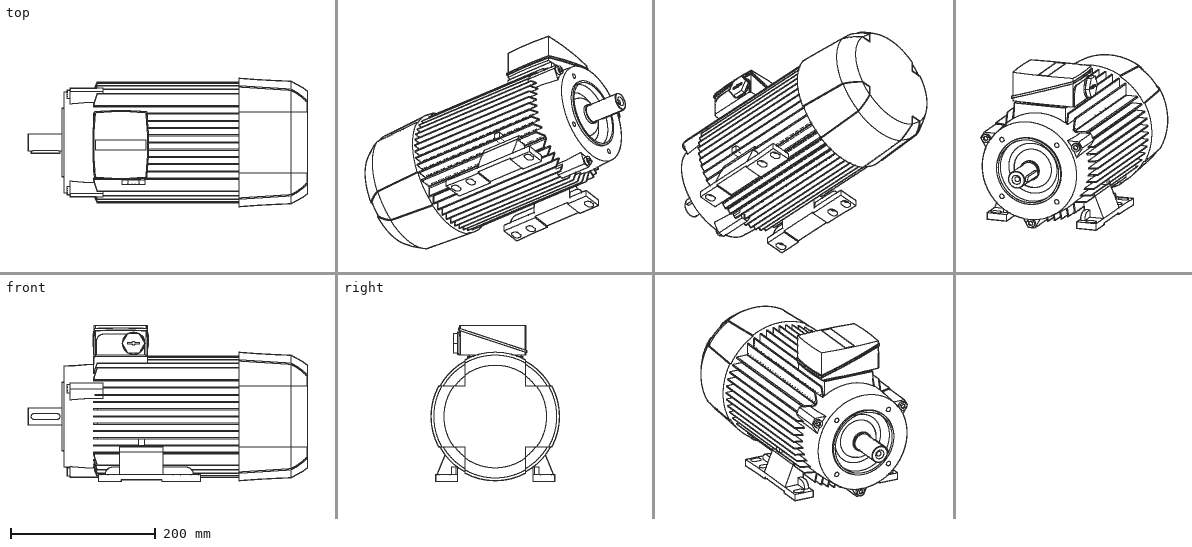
import cadquery as cq
import math


SHAFT_RADIUS = 12
SHAFT_LENGTH = 50
SHAFT_CHAMFER = 0.6
KEY_WIDTH = 8
KEY_LENGTH = 40
KEY_END_GAP = 4.5
KEY_TOP = 15
CENTRE_BORE_RADIUS = 3.4
CENTRE_BORE_DEPTH = 20
CENTRE_SINK_RADIUS = 6.4
CENTRE_SINK_DEPTH = 3

FLANGE_RADIUS = 70
FLANGE_TAPER_END = 34
SPIGOT_RADIUS = 47.5
SPIGOT_HEIGHT = 3
RECESS_MOUTH_RADIUS = 44.8
RECESS_FLOOR_RADIUS = 35.7
RECESS_RIM_X = 5
RECESS_FLOOR_X = 14
HUB_BASE_RADIUS = 27.4
HUB_TOP_RADIUS = 16
HUB_TOP_X = 3
SHAFT_COLLAR_RADIUS = 13.7
FLANGE_BOLT_CIRCLE = 115
FLANGE_HOLE_RADIUS = 3.2
FLANGE_HOLE_DEPTH = 15

BODY_START = 41
CORE_RADIUS = 72.3
FIN_TIP_RADIUS = 84
FIN_BEVEL_LENGTH = 5
FIN_PITCH = 10
FIN_THICKNESS = 1.5
FINS_EACH_SIDE = 5

COVER_START = 242
COVER_BEND = 314
COVER_END = 337
COVER_RADIUS = 89
COVER_BEND_RADIUS = 85
COVER_END_RADIUS = 71
COVER_BULGE = 1
COVER_PANEL_HALF_WIDTH = 42
COVER_CORNER_DROP = 1.6
COVER_END_DROP = 1

LUG_ANGLES = (30, 150, 270)
LUG_START = 8.5
LUG_END = 54
LUG_TIP_RADIUS = 84
LUG_TIP_HALF_WIDTH = 4.9
LUG_ROOT_RADIUS = 62
LUG_FLARE_ANGLE = 30
BOLT_CIRCLE_RADIUS = 76.8
BOLT_HEAD_RADIUS = 5.8
BOLT_HEAD_HEIGHT = 4
BOLT_SOCKET_DIAMETER = 6.5
BOLT_SOCKET_DEPTH = 2.5

SHAFT_HEIGHT = 90
FOOT_START = 47.5
FOOT_END = 189
FOOT_INNER_Y = 52
FOOT_PAD_Y = 80.7
FOOT_THICKNESS = 9.6
FOOT_FLARE_START = 156
FOOT_FLARE_Y = 82.3
FOOT_RELIEF_START = 79.5
FOOT_RELIEF_END = 135.5
FOOT_RELIEF_HEIGHT = 2.4
WEB_START = 76.5
WEB_END = 137
WEB_TOP_Y = 65
WEB_TOP_Z = -42
RIB_START = 57
RIB_END = 179
RIB_HEIGHT = 10.4
RIB_CORNER_RADIUS = 10
RIB_INNER_Y = 54
RIB_OUTER_Y = 60.4
SLOT_Y = 70
SLOT_X = (56, 156, 181)
SLOT_WIDTH = 10
SLOT_LENGTH = 15

BOX_START = 41
BOX_END = 115.7
BOX_FRONT_Y = -49.7
BOX_BACK_Y = 42.8
BOX_BOTTOM = 85
BOX_TOP = 126
BOX_BULGE_X = 2.5
BOX_BULGE_Y = 1.7
NECK_HALF_WIDTH = 38.2
NECK_TOP = 82.9
GASKET_INSET = 2
SEAM_OVERHANG = 1.4
SEAM_THICKNESS = 3
SEAM_BACK_Z = 89.7
SEAM_FRONT_Z = 121
PANEL_START = 45
PANEL_END = 111.5
PANEL_TOP = 114
PANEL_CORNER_RADIUS = 10
PANEL_Y = -50
NAMEPLATE_LENGTH = 70
NAMEPLATE_WIDTH = 14.2
NAMEPLATE_Y = -3.6
NAMEPLATE_DEPTH = 0.5

PLUG_X = 96.1
PLUG_Z = 101.3
PLUG_COLLAR_RADIUS = 15.3
PLUG_COLLAR_Y = -52
PLUG_END_Y = -57.9
PLUG_FLATS = 27.3
PLUG_SLOT_LENGTH = 16.5
PLUG_SLOT_WIDTH = 2.6
PLUG_SLOT_BORE_RADIUS = 2.4
PLUG_SLOT_DEPTH = 1

EARTH_START = 103
EARTH_END = 111
EARTH_Y = 75.3
EARTH_TOP = -30
EARTH_BOTTOM = -40


def block(x0, x1, y0, y1, z0, z1):
    """Box between opposite corner coordinates."""
    return cq.Workplane("XY").box(x1 - x0, y1 - y0, z1 - z0, centered=False).translate((x0, y0, z0))


def about_shaft(profile):
    """Solid of revolution about the X axis from a closed (x, radius) sketch."""
    return profile.close().revolve(360, (0, 0, 0), (1, 0, 0))


def rod(radius, x0, x1, y=0, z=0):
    """Cylinder parallel to X."""
    return cq.Workplane("YZ", origin=(x0, y, z)).circle(radius).extrude(x1 - x0)


def make_flange_and_core():
    body = about_shaft(
        cq.Workplane("XY")
        .moveTo(-SPIGOT_HEIGHT, 0)
        .lineTo(-SPIGOT_HEIGHT, SPIGOT_RADIUS)
        .lineTo(0, SPIGOT_RADIUS)
        .lineTo(0, FLANGE_RADIUS)
        .lineTo(FLANGE_TAPER_END, CORE_RADIUS)
        .lineTo(COVER_START, CORE_RADIUS)
        .lineTo(COVER_START, 0)
    )
    hub_width = HUB_BASE_RADIUS - HUB_TOP_RADIUS
    hub_depth = RECESS_FLOOR_X - HUB_TOP_X
    hub_mid = (
        RECESS_FLOOR_X - hub_depth * math.sin(math.pi / 4),
        HUB_TOP_RADIUS + hub_width * math.cos(math.pi / 4),
    )
    recess = about_shaft(
        cq.Workplane("XY")
        .moveTo(-SPIGOT_HEIGHT, 0)
        .lineTo(-SPIGOT_HEIGHT, RECESS_MOUTH_RADIUS)
        .lineTo(RECESS_RIM_X, RECESS_MOUTH_RADIUS)
        .lineTo(RECESS_FLOOR_X, RECESS_FLOOR_RADIUS)
        .lineTo(RECESS_FLOOR_X, HUB_BASE_RADIUS)
        .threePointArc(hub_mid, (HUB_TOP_X, HUB_TOP_RADIUS))
        .lineTo(HUB_TOP_X, 0)
    )
    body = body.cut(recess)
    hole_offset = FLANGE_BOLT_CIRCLE / 2 * math.cos(math.pi / 4)
    for y in (-hole_offset, hole_offset):
        for z in (-hole_offset, hole_offset):
            body = body.cut(rod(FLANGE_HOLE_RADIUS, 0, FLANGE_HOLE_DEPTH, y, z))
    return body


def make_shaft():
    shaft = rod(SHAFT_RADIUS, -SHAFT_LENGTH, RECESS_FLOOR_X).faces("<X").chamfer(SHAFT_CHAMFER)
    key_centre = -SHAFT_LENGTH + KEY_END_GAP + KEY_LENGTH / 2
    key = (
        cq.Workplane("XZ", origin=(key_centre, 0, 0))
        .slot2D(KEY_LENGTH, KEY_WIDTH)
        .extrude(KEY_TOP)
    )
    centre_hole = about_shaft(
        cq.Workplane("XY")
        .moveTo(-SHAFT_LENGTH, 0)
        .lineTo(-SHAFT_LENGTH, CENTRE_SINK_RADIUS)
        .lineTo(-SHAFT_LENGTH + CENTRE_SINK_DEPTH, CENTRE_BORE_RADIUS)
        .lineTo(-SHAFT_LENGTH + CENTRE_BORE_DEPTH, CENTRE_BORE_RADIUS)
        .lineTo(-SHAFT_LENGTH + CENTRE_BORE_DEPTH, 0)
    )
    collar = rod(SHAFT_COLLAR_RADIUS, 0, RECESS_FLOOR_X)
    return shaft.union(collar).union(key).cut(centre_hole)


def make_fins():
    """Plates parallel to the XY and XZ planes, trimmed to a round envelope with a bevelled front."""
    envelope = about_shaft(
        cq.Workplane("XY")
        .moveTo(BODY_START, 0)
        .lineTo(BODY_START, CORE_RADIUS)
        .lineTo(BODY_START + FIN_BEVEL_LENGTH, FIN_TIP_RADIUS)
        .lineTo(COVER_START, FIN_TIP_RADIUS)
        .lineTo(COVER_START, 0)
    )
    reach = FIN_TIP_RADIUS
    half = FIN_THICKNESS / 2
    core_overlap = CORE_RADIUS / 2
    plates = rod(core_overlap, BODY_START, COVER_START)
    for index in range(-FINS_EACH_SIDE, FINS_EACH_SIDE + 1):
        offset = index * FIN_PITCH
        low, high = offset - half, offset + half
        plates = plates.union(block(BODY_START, COVER_START, -reach, reach, low, high))
        plates = plates.union(block(BODY_START, COVER_START, low, high, -reach, reach))
    return plates.intersect(envelope)


def cover_shell(radial_drop, end_drop):
    """Tapered cover with a rounded rear shoulder, shrunk by the given drops."""
    end = COVER_END - end_drop
    bend_radius = COVER_BEND_RADIUS - radial_drop
    end_radius = COVER_END_RADIUS - end_drop
    shoulder_length = math.hypot(end - COVER_BEND, bend_radius - end_radius)
    shoulder_mid = (
        (COVER_BEND + end) / 2 + COVER_BULGE * (bend_radius - end_radius) / shoulder_length,
        (bend_radius + end_radius) / 2 + COVER_BULGE * (end - COVER_BEND) / shoulder_length,
    )
    return about_shaft(
        cq.Workplane("XY")
        .moveTo(COVER_START, 0)
        .lineTo(COVER_START, COVER_RADIUS - radial_drop)
        .lineTo(COVER_BEND, bend_radius)
        .threePointArc(shoulder_mid, (end, end_radius))
        .lineTo(end, 0)
    )


def make_cover():
    """Four full-size panels, with slightly sunken quarters between them."""
    half = COVER_PANEL_HALF_WIDTH
    cross = block(COVER_START, COVER_END, -half, half, -COVER_RADIUS, COVER_RADIUS)
    cross = cross.union(block(COVER_START, COVER_END, -COVER_RADIUS, COVER_RADIUS, -half, half))
    panels = cover_shell(0, 0).intersect(cross)
    return panels.union(cover_shell(COVER_CORNER_DROP, COVER_END_DROP))


def make_lug(angle):
    """Wedge-shaped lug on the flange rim with a socket-head tie bolt, at an angle from +Y to +Z."""
    flare = (LUG_TIP_RADIUS - LUG_ROOT_RADIUS) * math.tan(math.radians(LUG_FLARE_ANGLE))
    root_half = LUG_TIP_HALF_WIDTH + flare
    lug = (
        cq.Workplane("YZ", origin=(LUG_START, 0, 0))
        .polyline([
            (LUG_ROOT_RADIUS, -root_half),
            (LUG_TIP_RADIUS, -LUG_TIP_HALF_WIDTH),
            (LUG_TIP_RADIUS, LUG_TIP_HALF_WIDTH),
            (LUG_ROOT_RADIUS, root_half),
        ])
        .close()
        .extrude(LUG_END - LUG_START)
    )
    head_start = LUG_START - BOLT_HEAD_HEIGHT
    head = rod(BOLT_HEAD_RADIUS, head_start, LUG_START, BOLT_CIRCLE_RADIUS)
    socket = (
        cq.Workplane("YZ", origin=(head_start, BOLT_CIRCLE_RADIUS, 0))
        .polygon(6, BOLT_SOCKET_DIAMETER)
        .extrude(BOLT_SOCKET_DEPTH)
    )
    return lug.union(head).cut(socket).rotate((0, 0, 0), (1, 0, 0), angle)


def make_foot():
    """Foot on the -Y side."""
    pad_top = -SHAFT_HEIGHT + FOOT_THICKNESS
    foot = (
        cq.Workplane("XY", origin=(0, 0, -SHAFT_HEIGHT))
        .polyline([
            (FOOT_START, -FOOT_INNER_Y),
            (FOOT_START, -FOOT_PAD_Y),
            (FOOT_FLARE_START, -FOOT_PAD_Y),
            (FOOT_END, -FOOT_FLARE_Y),
            (FOOT_END, -FOOT_INNER_Y),
        ])
        .close()
        .extrude(FOOT_THICKNESS)
    )
    relief_top = -SHAFT_HEIGHT + FOOT_RELIEF_HEIGHT
    foot = foot.cut(
        block(
            FOOT_RELIEF_START, FOOT_RELIEF_END,
            -FOOT_PAD_Y, -FOOT_INNER_Y, -SHAFT_HEIGHT, relief_top,
        )
    )
    web = (
        cq.Workplane("YZ", origin=(WEB_START, 0, 0))
        .polyline([
            (-FOOT_INNER_Y, pad_top),
            (-FOOT_PAD_Y, pad_top),
            (-WEB_TOP_Y, WEB_TOP_Z),
            (-FOOT_INNER_Y, WEB_TOP_Z),
        ])
        .close()
        .extrude(WEB_END - WEB_START)
    )
    rib = (
        block(RIB_START, RIB_END, -RIB_OUTER_Y, -RIB_INNER_Y, pad_top, pad_top + RIB_HEIGHT)
        .edges("|Y and >Z")
        .fillet(RIB_CORNER_RADIUS)
    )
    slots = (
        cq.Workplane("XY", origin=(0, 0, -SHAFT_HEIGHT))
        .pushPoints([(x, -SLOT_Y) for x in SLOT_X])
        .slot2D(SLOT_LENGTH, SLOT_WIDTH, 90)
        .extrude(FOOT_THICKNESS)
    )
    return foot.union(web).union(rib).cut(slots)


def box_outline(plane, overhang):
    """Rectangle with four outward-bowed sides, grown by the overhang."""
    x_low, x_high = BOX_START - overhang, BOX_END + overhang
    y_low, y_high = BOX_FRONT_Y - overhang, BOX_BACK_Y + overhang
    left, right = x_low + BOX_BULGE_X, x_high - BOX_BULGE_X
    front, back = y_low + BOX_BULGE_Y, y_high - BOX_BULGE_Y
    x_mid, y_mid = (x_low + x_high) / 2, (y_low + y_high) / 2
    return (
        plane.moveTo(left, front)
        .threePointArc((x_mid, y_low), (right, front))
        .threePointArc((x_high, y_mid), (right, back))
        .threePointArc((x_mid, y_high), (left, back))
        .threePointArc((x_low, y_mid), (left, front))
        .close()
    )


def make_seam():
    """Overhanging joint between the box and its lid, sloping down towards the back."""
    start, end = BOX_START - BOX_BULGE_X, BOX_END + BOX_BULGE_X
    front, back = BOX_FRONT_Y - SEAM_OVERHANG, BOX_BACK_Y + SEAM_OVERHANG
    half = SEAM_THICKNESS / 2
    slab = (
        cq.Workplane("YZ", origin=(start, 0, 0))
        .polyline([
            (front, SEAM_FRONT_Z - half),
            (back, SEAM_BACK_Z - half),
            (back, SEAM_BACK_Z + half),
            (front, SEAM_FRONT_Z + half),
        ])
        .close()
        .extrude(end - start)
    )
    column = box_outline(cq.Workplane("XY", origin=(0, 0, BOX_BOTTOM)), SEAM_OVERHANG)
    return slab.intersect(column.extrude(BOX_TOP - BOX_BOTTOM))


def make_terminal_box():
    neck = block(BOX_START, BOX_END, -NECK_HALF_WIDTH, NECK_HALF_WIDTH, 0, NECK_TOP)
    gasket_half = NECK_HALF_WIDTH - GASKET_INSET
    gasket = block(
        BOX_START + GASKET_INSET, BOX_END - GASKET_INSET,
        -gasket_half, gasket_half, NECK_TOP, BOX_BOTTOM,
    )
    box = box_outline(cq.Workplane("XY", origin=(0, 0, BOX_BOTTOM)), 0).extrude(BOX_TOP - BOX_BOTTOM)
    panel = (
        block(PANEL_START, PANEL_END, PANEL_Y, 0, BOX_BOTTOM, PANEL_TOP)
        .edges("|Y and >Z")
        .fillet(PANEL_CORNER_RADIUS)
    )
    nameplate = (
        cq.Workplane("XY", origin=((BOX_START + BOX_END) / 2, NAMEPLATE_Y, BOX_TOP))
        .rect(NAMEPLATE_LENGTH, NAMEPLATE_WIDTH)
        .extrude(-NAMEPLATE_DEPTH)
    )
    return neck.union(gasket).union(box).union(panel).union(make_seam()).cut(nameplate)


def plug_plane(y):
    """Sketch plane across the plug axis; extrusions run towards -Y."""
    return cq.Workplane("XZ", origin=(PLUG_X, y, PLUG_Z))


def make_plug():
    collar = plug_plane(PANEL_Y).circle(PLUG_COLLAR_RADIUS).extrude(PANEL_Y - PLUG_COLLAR_Y)
    hexagon_diameter = PLUG_FLATS / math.cos(math.pi / 6)
    head = plug_plane(PLUG_COLLAR_Y).polygon(6, hexagon_diameter).extrude(PLUG_COLLAR_Y - PLUG_END_Y)
    slot = plug_plane(PLUG_END_Y).rect(PLUG_SLOT_LENGTH, PLUG_SLOT_WIDTH).extrude(-PLUG_SLOT_DEPTH)
    bore = plug_plane(PLUG_END_Y).circle(PLUG_SLOT_BORE_RADIUS).extrude(-PLUG_SLOT_DEPTH)
    return collar.union(head).cut(slot).cut(bore)


def make_earth_terminal():
    """Earth terminal block on the -Y side, between two fins."""
    return block(EARTH_START, EARTH_END, -EARTH_Y, -CORE_RADIUS / 2, EARTH_BOTTOM, EARTH_TOP)


motor = make_flange_and_core().union(make_shaft()).union(make_fins()).union(make_cover())
for lug_angle in LUG_ANGLES:
    motor = motor.union(make_lug(lug_angle))
for side_part in (make_foot(), make_earth_terminal()):
    motor = motor.union(side_part).union(side_part.mirror("XZ"))
result = motor.union(make_terminal_box()).union(make_plug())